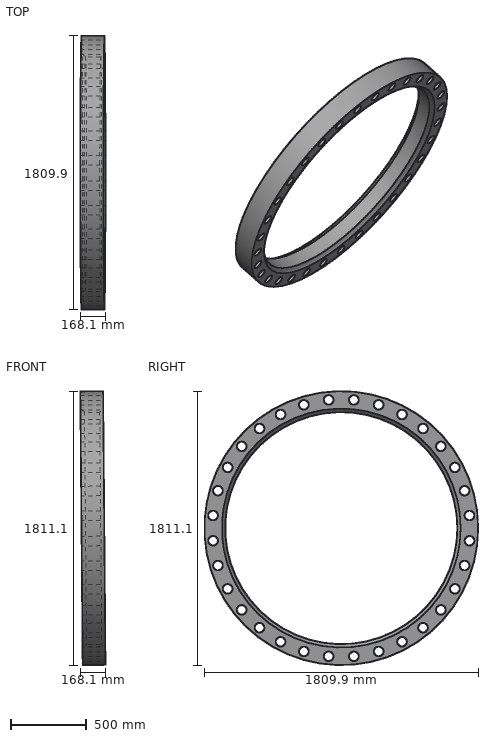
import cadquery as cq
import math

outer_diameter = 1809.86
thickness = 152.3
bore_diameter = 1532.0
tilt_angle = 0.5

mouth_diameter = 1578.0
bevel_depth = 21.0
bevel_hollow = 1.2
cone_diameter = 1546.0
mouth_depth = 26.0

bolt_count = 32
bolt_circle_diameter = 1702.0
bolt_hole_diameter = 63.0


def ring_body():
    """Plain ring with its axis along X, centred on the origin."""
    return (
        cq.Workplane("YZ", origin=(-thickness / 2, 0, 0))
        .circle(outer_diameter / 2)
        .circle(bore_diameter / 2)
        .extrude(thickness)
    )


def front_mouth():
    """Revolved cutter that opens the bore towards the -X face."""
    front = -thickness / 2
    mouth_radius = mouth_diameter / 2
    cone_radius = cone_diameter / 2
    bevel_slope = math.atan2(mouth_radius - cone_radius, bevel_depth)
    bevel_middle = (
        front + bevel_depth / 2 + bevel_hollow * math.sin(bevel_slope),
        (mouth_radius + cone_radius) / 2 + bevel_hollow * math.cos(bevel_slope),
    )
    return (
        cq.Workplane("XY")
        .moveTo(front, 0)
        .lineTo(front, mouth_radius)
        .threePointArc(bevel_middle, (front + bevel_depth, cone_radius))
        .lineTo(front + mouth_depth, bore_diameter / 2)
        .lineTo(front + mouth_depth, 0)
        .close()
        .revolve(360, (0, 0, 0), (1, 0, 0))
    )


def bolt_holes():
    """Through holes straddling the Y and Z axes."""
    half_step = 360 / bolt_count / 2
    return (
        cq.Workplane("YZ", origin=(-thickness / 2, 0, 0))
        .polarArray(bolt_circle_diameter / 2, half_step, 360, bolt_count)
        .circle(bolt_hole_diameter / 2)
        .extrude(thickness)
    )


mouth = front_mouth()
ring = ring_body().cut(mouth).cut(mouth.mirror("YZ")).cut(bolt_holes())
result = ring.rotate((0, 0, 0), (0, 1, 0), -tilt_angle)